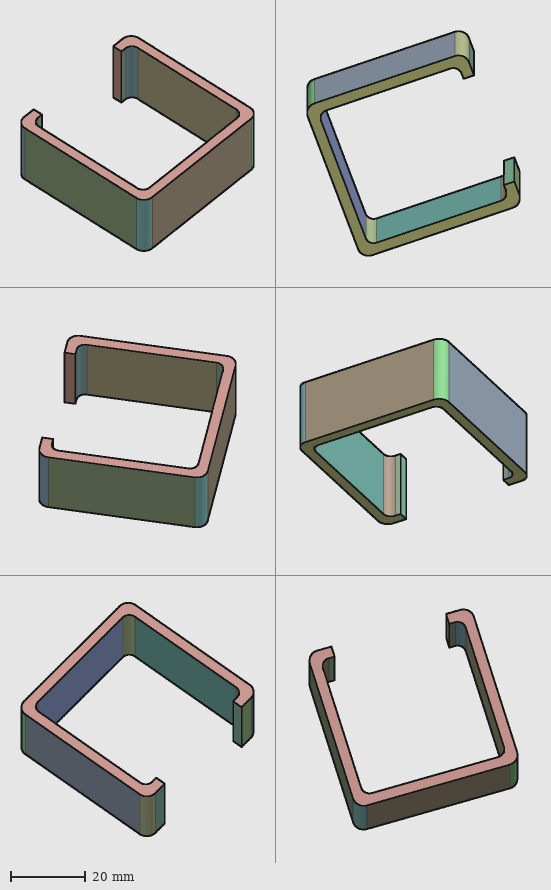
import cadquery as cq

side = 46.3
height = 19.5
wall = 3.0
outer_radius = 3.0
inner_radius = 2.3
lip_length = 7.0

inner_side = side - 2 * wall
gap = side - 2 * lip_length


def rounded_square(size, corner_radius):
    """Square prism centred on the origin with rounded vertical edges."""
    return cq.Workplane("XY").box(size, size, height).edges("|Z").fillet(corner_radius)


ring = rounded_square(side, outer_radius).cut(rounded_square(inner_side, inner_radius))

opening = cq.Workplane("XY").box(wall, gap, height).translate(((wall - side) / 2, 0, 0))

result = ring.cut(opening)